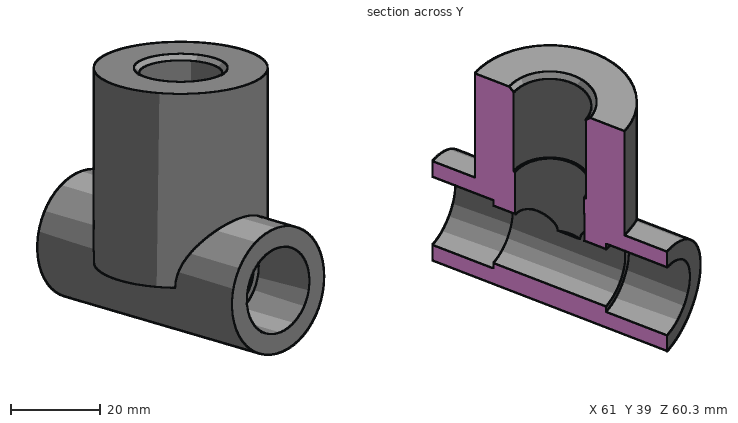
import cadquery as cq

run_length = 61.0
run_diameter = 29.5
run_bore_diameter = 16.85
socket_diameter = 20.0
socket_depth = 15.85

overall_height = 60.25
branch_diameter = 39.0
branch_height = overall_height - run_diameter / 2
branch_bore_diameter = 17.8
branch_socket_diameter = 18.6
branch_socket_depth = 24.4
mouth_diameter = 21.0
mouth_chamfer = (mouth_diameter - branch_socket_diameter) / 2


def run_cylinder(diameter, start, length):
    """Cylinder on the X axis, starting at the given X."""
    return cq.Workplane("YZ", origin=(start, 0, 0)).circle(diameter / 2).extrude(length)


def branch_cylinder(diameter, bottom, top):
    """Cylinder on the Z axis between two heights."""
    return cq.Workplane("XY", origin=(0, 0, bottom)).circle(diameter / 2).extrude(top - bottom)


run = run_cylinder(run_diameter, -run_length / 2, run_length)
branch = branch_cylinder(branch_diameter, 0, branch_height)
body = run.union(branch)

body = body.cut(run_cylinder(run_bore_diameter, -run_length / 2, run_length))
for start in (-run_length / 2, run_length / 2 - socket_depth):
    body = body.cut(run_cylinder(socket_diameter, start, socket_depth))

body = body.cut(branch_cylinder(branch_bore_diameter, 0, branch_height))
body = body.cut(branch_cylinder(branch_socket_diameter, branch_height - branch_socket_depth, branch_height))
mouth = (
    cq.Workplane("XY", origin=(0, 0, branch_height))
    .circle(mouth_diameter / 2)
    .workplane(offset=-mouth_chamfer)
    .circle(branch_socket_diameter / 2)
    .loft(ruled=True)
)
result = body.cut(mouth)